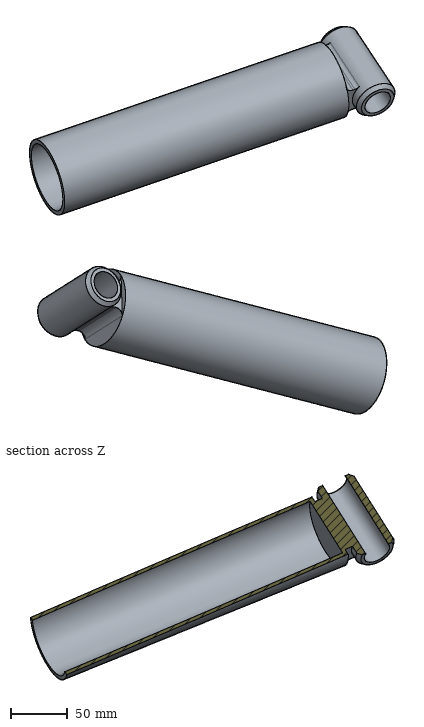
import cadquery as cq
import math

OVERALL_LENGTH = 325.0
TILT_ANGLE = 2.0

EYE_RADIUS = 19.0
EYE_BORE_RADIUS = 12.5
EYE_WIDTH = 82.5
EYE_CHAMFER_LENGTH = 4.0
EYE_CHAMFER_DEPTH = 3.1

TUBE_RADIUS = 35.0
WALL = 4.0
TUBE_START = 25.5

NECK_WIDTH = 58.0
NECK_HALF_HEIGHT = 12.7
NECK_ROUND = 6.5

tilt = math.radians(TILT_ANGLE)
tube_end = (OVERALL_LENGTH - EYE_RADIUS - TUBE_RADIUS * math.sin(tilt)) / math.cos(tilt)
tube_length = tube_end - TUBE_START


def cylinder_along_y(radius, start, length):
    """Cylinder running towards -Y from the given distance before the eye."""
    return cq.Workplane("XZ", origin=(0, -start, 0)).circle(radius).extrude(length)


def make_tube():
    outside = cylinder_along_y(TUBE_RADIUS, TUBE_START, tube_length)
    cavity = cylinder_along_y(TUBE_RADIUS - WALL, TUBE_START + WALL, tube_length - WALL)
    return outside.cut(cavity)


def make_neck():
    """Web blending by concave arcs into the eye and into the tube end."""
    arc_height = NECK_HALF_HEIGHT + NECK_ROUND
    arc_reach = EYE_RADIUS + NECK_ROUND
    arc_distance = math.sqrt(arc_reach**2 - arc_height**2)
    touch_scale = EYE_RADIUS / arc_reach
    touch = (-arc_distance * touch_scale, arc_height * touch_scale)
    mid_angle = (math.pi / 2 + math.atan2(arc_height, arc_distance)) / 2
    eye_mid = (
        -arc_distance + NECK_ROUND * math.cos(mid_angle),
        arc_height - NECK_ROUND * math.sin(mid_angle),
    )
    diagonal = NECK_ROUND * math.sqrt(0.5)
    tube_arc_start = -TUBE_START + NECK_ROUND
    tube_mid = (tube_arc_start - diagonal, arc_height - diagonal)
    upper_half = (
        cq.Workplane("YZ")
        .lineTo(*touch)
        .threePointArc(eye_mid, (-arc_distance, NECK_HALF_HEIGHT))
        .lineTo(tube_arc_start, NECK_HALF_HEIGHT)
        .threePointArc(tube_mid, (-TUBE_START, arc_height))
        .lineTo(-TUBE_START, 0)
        .close()
        .extrude(NECK_WIDTH / 2, both=True)
    )
    return upper_half.union(upper_half.mirror("XY"))


def make_eye():
    """Solid eye with conical end chamfers, revolved about the X axis."""
    half_width = EYE_WIDTH / 2
    shoulder = half_width - EYE_CHAMFER_LENGTH
    face_radius = EYE_RADIUS - EYE_CHAMFER_DEPTH
    return (
        cq.Workplane("XY")
        .moveTo(-half_width, 0)
        .lineTo(-half_width, face_radius)
        .lineTo(-shoulder, EYE_RADIUS)
        .lineTo(shoulder, EYE_RADIUS)
        .lineTo(half_width, face_radius)
        .lineTo(half_width, 0)
        .close()
        .revolve(360, (0, 0, 0), (1, 0, 0))
    )


def make_eye_bore():
    return cq.Workplane("YZ").circle(EYE_BORE_RADIUS).extrude(EYE_WIDTH / 2, both=True)


body = make_tube().union(make_neck()).union(make_eye()).cut(make_eye_bore())
result = body.rotate((0, 0, 0), (1, 0, 0), -TILT_ANGLE)